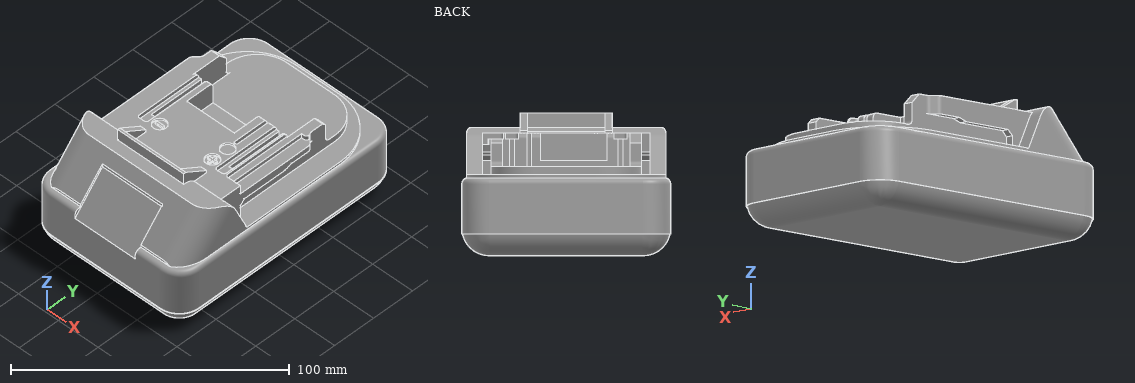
import cadquery as cq
import math

CASE_WIDTH = 75.0
CASE_LENGTH = 112.0
CASE_TOP = 28.0
CORNER_RADIUS = 10.0
BOTTOM_CORNER_RADIUS = 10.1
CASE_TOP_FILLET = 2.2
BOTTOM_PART_HEIGHT = 7.8

PLATE_HALF_WIDTH = 35.8
PLATE_END = 53.1
PLATE_TOP = 29.1
PLATE_REAR_RADIUS = 25.0

BLOCK_TOP = 46.1
BLOCK_FRONT_TOP_Y = -37.9
BLOCK_REAR_FOOT_Y = -19.8
BLOCK_REAR_ANGLE = 65.0
BLOCK_REAR_FILLET = 7.0

RECESS_HALF_WIDTH = 15.1
RECESS_REAR_Y = -41.9
RECESS_LEDGE_Z = 40.2
RECESS_BOTTOM_Z = 24.2

STEP = 2.0
DOCK_HALF_WIDTH = 27.0
DOCK_REAR_Y = 49.4
DOCK_REAR_RADIUS = 15.0
DOCK_FRONT_Y = -33.6
FLOOR_Z = 32.1
DECK_Z = 44.0
DECK_REAR_Y = 14.3
ARM_INNER_X = 22.8
ARM_REAR_Y = 29.6
ARM_CHAMFER = 3.6
ARM_FOOT_FILLET = 1.9

RAIL_PROJECTION = 3.0
RAIL_BEND_RADIUS = 2.5
RAIL_REAR_Y = 22.5
RAIL_UNDERSIDE_Z = 37.3
RAIL_THICK_Z = 36.2
RAIL_RAMP_START_Y = 9.0
RAIL_RAMP_END_Y = 5.6
RAIL_FRONT_Y = -17.2
UNDERCUT_CORNER = 2.0

LOW_ARM_DROP = STEP
LOW_RAIL_DROP = 2 * STEP
LOW_SIDE_X = 22.5
LOW_RAIL_X = 25.2
LOW_RAIL_REAR_Y = 19.0
LOW_RAIL_ROUND = 1.3

GROOVE_WIDTH = 4.6
GROOVE_CENTER_X = 19.5
GROOVE_END_RADIUS = 1.1
BLADE_SLOT_WIDTH = 1.8
BLADE_SLOT_FRONT_Y = -11.4
SIGNAL_SLOT_X = 13.2
SIGNAL_SLOT_WIDTH = 1.6
SIGNAL_SLOT_FRONT_Y = -2.8
SIGNAL_SLOT_END_RADIUS = 0.5
NOTCH_LEFT_X = -14.7
NOTCH_RIGHT_X = 9.2
NOTCH_FRONT_Y = 0.9
NOTCH_FLOOR_Z = FLOOR_Z + STEP

MARK_DIAMETER = 6.0
MARK_DEPTH = 0.8
MARK_X = 13.2
POLARITY_Y = -14.5
SIGNAL_MARK_Y = -6.6
SIGN_LENGTH = 3.9
SIGN_STROKE = 1.0

HOOK_HALF_WIDTH = 16.6
HOOK_ARM_WIDTH = 2.7
HOOK_TOP = 51.3
HOOK_FRONT_Y = -32.6
HOOK_WALL = 1.1
HOOK_REAR_Y = -20.8
HOOK_REAR_Z = 45.0
HOOK_CLEARANCE_Y = -28.0

OVERRUN = 5.6
OVERLAP = 1.1


def box(x0, x1, y0, y1, z0, z1):
    return cq.Workplane("XY").box(x1 - x0, y1 - y0, z1 - z0, centered=False).translate((x0, y0, z0))


def side_extrude(points, x0, x1):
    """Extrude a closed (Y, Z) outline from x0 to x1."""
    return cq.Workplane("YZ").polyline(points).close().extrude(x1 - x0).translate((x0, 0, 0))


def slot(center_x, width, front_y, bottom_z, end_radius=0):
    """Slot cut into the deck, open at the deck's rear edge."""
    half = width / 2
    cutter = box(center_x - half, center_x + half, front_y, DECK_REAR_Y, bottom_z, DECK_Z + OVERRUN)
    if end_radius:
        cutter = cutter.edges("|Z and <Y").fillet(end_radius)
    return cutter


def make_case():
    bottom = (
        cq.Workplane("XY")
        .rect(CASE_WIDTH, CASE_LENGTH)
        .extrude(CASE_TOP)
        .edges("|Z").fillet(BOTTOM_CORNER_RADIUS)
        .faces("<Z").edges().fillet(CORNER_RADIUS)
    )
    bottom = bottom.intersect(cq.Workplane("XY").rect(CASE_WIDTH, CASE_LENGTH).extrude(BOTTOM_PART_HEIGHT))
    walls = (
        cq.Workplane("XY", origin=(0, 0, BOTTOM_PART_HEIGHT))
        .rect(CASE_WIDTH, CASE_LENGTH)
        .extrude(CASE_TOP - BOTTOM_PART_HEIGHT)
        .edges("|Z").fillet(CORNER_RADIUS)
        .faces(">Z").edges().fillet(CASE_TOP_FILLET)
    )
    return bottom.union(walls)


def make_plate():
    front_y = BLOCK_REAR_FOOT_Y - OVERRUN
    plate = box(
        -PLATE_HALF_WIDTH, PLATE_HALF_WIDTH, front_y, PLATE_END, CASE_TOP - OVERLAP, PLATE_TOP
    )
    return plate.edges("|Z and >Y").fillet(PLATE_REAR_RADIUS)


def make_block():
    slope = (BLOCK_TOP - PLATE_TOP) / (BLOCK_FRONT_TOP_Y + PLATE_END)
    foot_z = CASE_TOP - OVERRUN
    foot_front_y = BLOCK_FRONT_TOP_Y - (BLOCK_TOP - foot_z) / slope
    rear_slope = math.tan(math.radians(BLOCK_REAR_ANGLE))
    foot_rear_y = BLOCK_REAR_FOOT_Y + (PLATE_TOP - foot_z) / rear_slope
    top_rear_y = BLOCK_REAR_FOOT_Y - (BLOCK_TOP - PLATE_TOP) / rear_slope
    wedge = side_extrude(
        [
            (foot_front_y, foot_z),
            (BLOCK_FRONT_TOP_Y, BLOCK_TOP),
            (top_rear_y, BLOCK_TOP),
            (foot_rear_y, foot_z),
        ],
        -PLATE_HALF_WIDTH,
        PLATE_HALF_WIDTH,
    )
    wedge = wedge.faces(">Z").edges(">Y").fillet(BLOCK_REAR_FILLET)
    wedge = wedge.faces("<Y").edges("not |X").fillet(CORNER_RADIUS)
    kept = box(-PLATE_HALF_WIDTH, PLATE_HALF_WIDTH, -PLATE_END, PLATE_END, CASE_TOP - OVERLAP, BLOCK_TOP)
    return wedge.intersect(kept)


def finger_recess():
    slope = (RECESS_LEDGE_Z - RECESS_BOTTOM_Z) / (RECESS_REAR_Y + CASE_LENGTH / 2)
    outer_y = -CASE_LENGTH / 2 - OVERRUN
    return side_extrude(
        [
            (RECESS_REAR_Y, BLOCK_TOP),
            (RECESS_REAR_Y, RECESS_LEDGE_Z),
            (outer_y, RECESS_BOTTOM_Z - OVERRUN * slope),
            (outer_y, BLOCK_TOP),
        ],
        -RECESS_HALF_WIDTH,
        RECESS_HALF_WIDTH,
    )


def dock_outline():
    """Plan of the dock: narrow with a rounded rear, swelling through S-bends into the rails."""
    narrow = DOCK_HALF_WIDTH
    wide = narrow + RAIL_PROJECTION
    arc_length = RAIL_BEND_RADIUS * math.sin(math.radians(45))
    arc_offset = RAIL_BEND_RADIUS - arc_length
    diagonal = RAIL_PROJECTION - 2 * arc_offset
    diagonal_rear_y = RAIL_REAR_Y - arc_length
    diagonal_front_y = diagonal_rear_y - diagonal
    corner = DOCK_REAR_Y - DOCK_REAR_RADIUS
    return (
        cq.Workplane("XY", origin=(0, 0, CASE_TOP))
        .moveTo(wide, DOCK_FRONT_Y)
        .lineTo(wide, diagonal_front_y - arc_length)
        .tangentArcPoint((wide - arc_offset, diagonal_front_y), relative=False)
        .lineTo(narrow + arc_offset, diagonal_rear_y)
        .tangentArcPoint((narrow, RAIL_REAR_Y), relative=False)
        .lineTo(narrow, corner)
        .tangentArcPoint((narrow - DOCK_REAR_RADIUS, DOCK_REAR_Y), relative=False)
        .lineTo(0, DOCK_REAR_Y)
        .lineTo(0, DOCK_FRONT_Y)
        .close()
        .extrude(DECK_Z - CASE_TOP)
    )


def dock_side_shape():
    """Low rear floor, then the chamfered rear end of the arms rising to deck height."""
    reach = DOCK_HALF_WIDTH + RAIL_PROJECTION
    shape = side_extrude(
        [
            (DOCK_FRONT_Y, CASE_TOP),
            (DOCK_REAR_Y, CASE_TOP),
            (DOCK_REAR_Y, FLOOR_Z),
            (ARM_REAR_Y, FLOOR_Z),
            (ARM_REAR_Y, DECK_Z - ARM_CHAMFER),
            (ARM_REAR_Y - ARM_CHAMFER, DECK_Z),
            (DOCK_FRONT_Y, DECK_Z),
        ],
        -reach,
        reach,
    )
    foot_edge = cq.selectors.NearestToPointSelector((0, ARM_REAR_Y, FLOOR_Z))
    return shape.edges(foot_edge).fillet(ARM_FOOT_FILLET)


def well():
    """Space between the arms; its front wall curves over into the deck."""
    return (
        cq.Workplane("YZ", origin=(-ARM_INNER_X, 0, 0))
        .moveTo(DOCK_REAR_Y, FLOOR_Z)
        .lineTo(DECK_REAR_Y, FLOOR_Z)
        .lineTo(DECK_REAR_Y, DECK_Z - STEP)
        .tangentArcPoint((DECK_REAR_Y - STEP, DECK_Z), relative=False)
        .lineTo(DOCK_REAR_Y, DECK_Z)
        .close()
        .extrude(2 * ARM_INNER_X)
    )


def rail_undercut():
    """Space under the -X rail, back to the face of the arm."""
    return side_extrude(
        [
            (RAIL_REAR_Y, PLATE_TOP),
            (RAIL_REAR_Y, RAIL_UNDERSIDE_Z),
            (RAIL_RAMP_START_Y, RAIL_UNDERSIDE_Z),
            (RAIL_RAMP_END_Y, RAIL_THICK_Z),
            (RAIL_FRONT_Y + UNDERCUT_CORNER, RAIL_THICK_Z),
            (RAIL_FRONT_Y, RAIL_THICK_Z - UNDERCUT_CORNER),
            (RAIL_FRONT_Y, PLATE_TOP),
        ],
        -DOCK_HALF_WIDTH - OVERRUN,
        -DOCK_HALF_WIDTH,
    )


def lowered_side():
    """The +X arm lies below the deck and its rail lower still."""
    outer_x = DOCK_HALF_WIDTH + OVERRUN
    arm_cut = box(
        LOW_SIDE_X, outer_x, RAIL_FRONT_Y, ARM_REAR_Y + OVERRUN, DECK_Z - LOW_ARM_DROP, DECK_Z + OVERRUN
    )
    arm_cut = arm_cut.edges("|Z and <X and <Y").fillet(GROOVE_END_RADIUS)
    round_start_x = DOCK_HALF_WIDTH - LOW_RAIL_ROUND / 2
    round_end = (round_start_x + LOW_RAIL_ROUND, LOW_RAIL_REAR_Y + LOW_RAIL_ROUND)
    rail_cut = (
        cq.Workplane("XY", origin=(0, 0, DECK_Z - LOW_RAIL_DROP))
        .moveTo(LOW_RAIL_X, RAIL_FRONT_Y)
        .lineTo(LOW_RAIL_X, LOW_RAIL_REAR_Y)
        .lineTo(round_start_x, LOW_RAIL_REAR_Y)
        .tangentArcPoint(round_end, relative=False)
        .lineTo(outer_x, round_end[1])
        .lineTo(outer_x, RAIL_FRONT_Y)
        .close()
        .extrude(LOW_RAIL_DROP)
    )
    return arm_cut.union(rail_cut)


def make_dock():
    half = dock_outline()
    dock = half.union(half.mirror("YZ")).intersect(dock_side_shape())
    undercut = rail_undercut()
    dock = dock.cut(well()).cut(undercut).cut(undercut.mirror("YZ")).cut(lowered_side())
    for side in (-1, 1):
        center_x = side * GROOVE_CENTER_X
        dock = dock.cut(slot(center_x, GROOVE_WIDTH, RAIL_FRONT_Y, DECK_Z - STEP, GROOVE_END_RADIUS))
        dock = dock.cut(slot(center_x, BLADE_SLOT_WIDTH, BLADE_SLOT_FRONT_Y, FLOOR_Z))
    dock = dock.cut(
        slot(SIGNAL_SLOT_X, SIGNAL_SLOT_WIDTH, SIGNAL_SLOT_FRONT_Y, FLOOR_Z, SIGNAL_SLOT_END_RADIUS)
    )
    notch_width = NOTCH_RIGHT_X - NOTCH_LEFT_X
    notch_center_x = (NOTCH_LEFT_X + NOTCH_RIGHT_X) / 2
    return dock.cut(slot(notch_center_x, notch_width, NOTCH_FRONT_Y, NOTCH_FLOOR_Z))


def mark_recess(x, y):
    return (
        cq.Workplane("XY", origin=(x, y, DECK_Z - MARK_DEPTH))
        .circle(MARK_DIAMETER / 2)
        .extrude(MARK_DEPTH)
    )


def sign_bar(x, length_x, length_y):
    return (
        cq.Workplane("XY", origin=(x, POLARITY_Y, DECK_Z - MARK_DEPTH))
        .rect(length_x, length_y)
        .extrude(MARK_DEPTH)
    )


def mark_recesses():
    minus = mark_recess(-MARK_X, POLARITY_Y).cut(sign_bar(-MARK_X, SIGN_LENGTH, SIGN_STROKE))
    plus = mark_recess(MARK_X, POLARITY_Y)
    plus = plus.cut(sign_bar(MARK_X, SIGN_LENGTH, SIGN_STROKE))
    plus = plus.cut(sign_bar(MARK_X, SIGN_STROKE, SIGN_LENGTH))
    signal = mark_recess(MARK_X, SIGNAL_MARK_Y)
    return minus.union(plus).union(signal)


def make_hook():
    inner_x = HOOK_HALF_WIDTH - HOOK_ARM_WIDTH
    wall_rear_y = HOOK_FRONT_Y + HOOK_WALL
    hook = side_extrude(
        [
            (HOOK_FRONT_Y, DECK_Z - OVERLAP),
            (HOOK_FRONT_Y, HOOK_TOP),
            (wall_rear_y, HOOK_TOP),
            (HOOK_REAR_Y, HOOK_REAR_Z),
            (HOOK_REAR_Y, DECK_Z - OVERLAP),
        ],
        -HOOK_HALF_WIDTH,
        HOOK_HALF_WIDTH,
    )
    return hook.cut(box(-inner_x, inner_x, wall_rear_y, HOOK_REAR_Y, DECK_Z - OVERLAP, HOOK_TOP))


def hook_clearance():
    """Levels the block's rounded rear with the deck between the hook's arms."""
    inner_x = HOOK_HALF_WIDTH - HOOK_ARM_WIDTH
    return box(-inner_x, inner_x, HOOK_CLEARANCE_Y, HOOK_REAR_Y, DECK_Z, HOOK_TOP)


result = (
    make_case()
    .union(make_plate())
    .union(make_block())
    .union(make_dock())
    .union(make_hook())
    .cut(finger_recess())
    .cut(hook_clearance())
    .cut(mark_recesses())
)